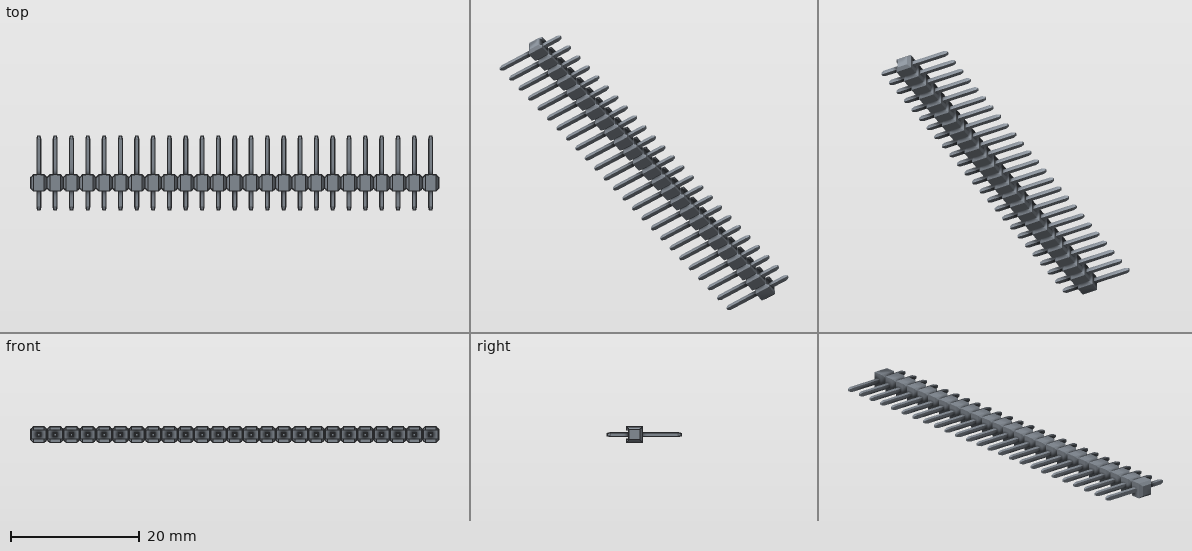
import cadquery as cq

pin_count = 25
row_length = 63.5
pitch = row_length / pin_count

housing_depth = 2.55
housing_height = 2.5
bevel_length = 0.45
bevel_inset = 0.45
groove_height = 1.4
groove_depth = 0.3

pin_width = 0.65
front_pin_length = 3.0
back_pin_length = 6.05
tip_length = 0.5
tip_width = 0.4

front_face = -housing_depth / 2
pin_front = front_face - front_pin_length
pin_back = housing_depth / 2 + back_pin_length


def bevelled_end(outward):
    """Tapered end of a block, narrowing outward (+1 or -1) along X to the joint with its neighbour."""
    start = outward * (pitch / 2 - bevel_length)
    return (
        cq.Workplane("YZ", origin=(start, 0, 0))
        .rect(housing_depth, housing_height)
        .workplane(offset=outward * bevel_length)
        .rect(housing_depth - 2 * bevel_inset, housing_height - 2 * bevel_inset)
        .loft(ruled=True)
    )


def housing_block():
    """One block with tapered ends and a straight groove along its -Y face."""
    block = cq.Workplane().box(pitch - 2 * bevel_length, housing_depth, housing_height)
    block = block.union(bevelled_end(1)).union(bevelled_end(-1))
    groove = (
        cq.Workplane()
        .box(pitch, groove_depth, groove_height)
        .translate((0, front_face + groove_depth / 2, 0))
    )
    return block.cut(groove)


def pin_tip(end, outward):
    """Pyramid tip reaching the given Y position, pointing outward (+1 or -1) along Y."""
    return (
        cq.Workplane("XZ", origin=(0, end - outward * tip_length, 0))
        .rect(pin_width, pin_width)
        .workplane(offset=-outward * tip_length)
        .rect(tip_width, tip_width)
        .loft(ruled=True)
    )


def pin():
    """Square pin through the housing with a tapered tip at each end."""
    shank_length = pin_back - pin_front - 2 * tip_length
    shank = (
        cq.Workplane()
        .box(pin_width, shank_length, pin_width)
        .translate((0, (pin_front + pin_back) / 2, 0))
    )
    return shank.union(pin_tip(pin_front, -1)).union(pin_tip(pin_back, 1))


station = housing_block().union(pin())
first_station_x = (pitch - row_length) / 2

result = cq.Workplane()
for index in range(pin_count):
    station_x = first_station_x + index * pitch
    result = result.add(station.translate((station_x, 0, 0)))

result = result.combine()